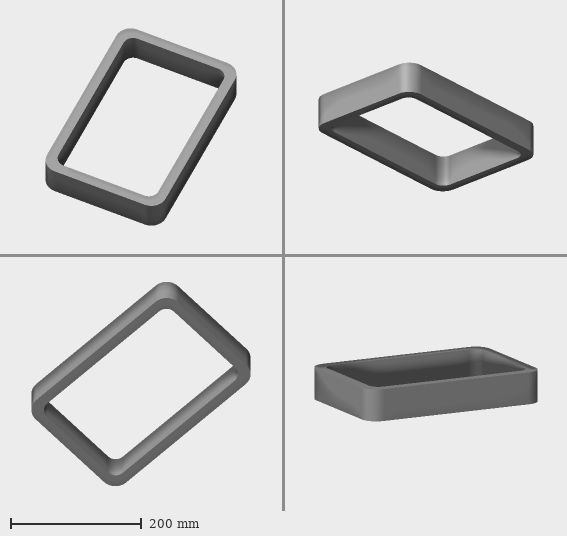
import cadquery as cq

width = 200.0
length = 300.0
height = 50.0
wall = 16.0
outer_radius = 24.0
inner_radius = 16.0


def rounded_block(size_x, size_y, corner_radius):
    """Block of the full height with rounded vertical edges."""
    block = cq.Workplane("XY").rect(size_x, size_y).extrude(height)
    return block.edges("|Z").fillet(corner_radius)


outer_body = rounded_block(width, length, outer_radius)
opening = rounded_block(width - 2 * wall, length - 2 * wall, inner_radius)

result = outer_body.cut(opening)